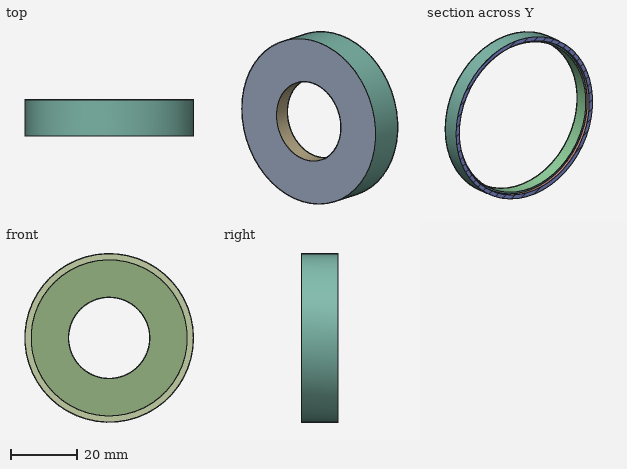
import cadquery as cq

outer_diameter = 50.8
width = 11.0
recess_diameter = 47.0
recess_depth = 5.6
bore_diameter = 24.4

groove_diameter = 48.0
groove_width = 1.0


def disc(diameter, length, start=0):
    """Cylinder along +Y, starting at the given distance behind the open face (Y = 0)."""
    return cq.Workplane("XZ", origin=(0, start, 0)).circle(diameter / 2).extrude(-length)


body = disc(outer_diameter, width)
recess = disc(recess_diameter, recess_depth)
groove = disc(groove_diameter, groove_width, recess_depth - groove_width)
bore = disc(bore_diameter, width)

result = body.cut(recess).cut(groove).cut(bore)